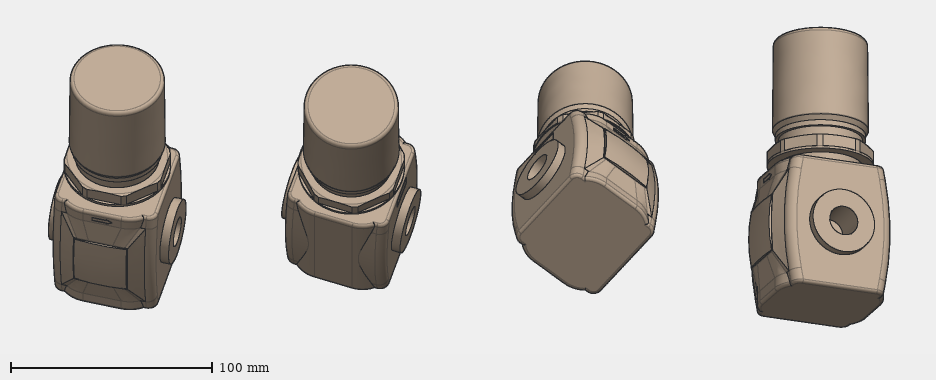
import cadquery as cq
import math

HOUSING_WIDTH = 53.0
HOUSING_HEIGHT = 68.2
MID_HEIGHT = HOUSING_HEIGHT / 2
BULGE_HALF_DEPTH = 28.2
BULGE_END_DEPTH = 25.7
BULGE_HALF_HEIGHT = 27.2
CORNER_RADIUS = 4.8
RIM_FILLET = 1.7

PAD_HALF_DEPTH = 28.5
PAD_FLAT_HALF = 9.9
PAD_ARC_RADIUS = 16.5
PAD_HALF_WIDTH = 20.8

BUMP_FACET_HALF = 18.8
BUMP_BACK = 20.0
CREST_HALF_WIDTH = 14.0
CREST_HALF_HEIGHT = 15.3
CREST_FLAT_HALF = 6.3
CREST_FACET_HALF = 12.4
CREST_END_DEPTH = 31.2
CREST_MID_DEPTH = 31.9

WINDOW_MARGIN = 0.5
WINDOW_HALF_WIDTH = CREST_HALF_WIDTH - WINDOW_MARGIN
WINDOW_HALF_HEIGHT = CREST_HALF_HEIGHT - WINDOW_MARGIN
WINDOW_RISE = 0.8
WINDOW_CENTRE_Z = MID_HEIGHT + WINDOW_RISE
WINDOW_FRONT = 33.77
WINDOW_SIDE_SAG = 0.7
WINDOW_END_SAG = 1.4
WINDOW_BACK = 28.0

PORT_DIAMETER = 33.0
PORT_SPAN = 62.0
BORE_DIAMETER = 15.0
BORE_DEPTH = 20.0

MARK_DEPTH = 0.2
LABEL_WIDTH = 14.2
LABEL_HEIGHT = 6.2
LABEL_Z = 62.3
ARROW_LENGTH = 10.3
ARROW_HEAD_LENGTH = 3.0
ARROW_SHAFT_HALF = 1.0
ARROW_HEAD_HALF = 1.6
ARROW_Z = 63.7

NECK_DIAMETER = 42.0
COLLAR_DIAMETER = 45.0
COLLAR_BOTTOM = 87.4
COLLAR_TOP = 90.1
KNOB_LIP_BOTTOM = 92.7
KNOB_LIP_TOP = 93.1
KNOB_BASE_DIAMETER = 47.8
KNOB_TOP_DIAMETER = 47.0
KNOB_TOP = 139.5
KNOB_FILLET = 2.0

NUT_BOTTOM = 73.5
NUT_TOP = 81.4
FLANGE_THICKNESS = 1.3
FLANGE_DIAMETER = 53.0
NUT_ACROSS_FLATS = 50.0
NUT_SIDES = 8
NUT_CHAMFER_ANGLE = 15.0


def arc_radius(half_chord, sag):
    """Radius of the arc that falls by sag at half_chord from its crown."""
    return (half_chord**2 + sag**2) / (2 * sag)


BULGE_RADIUS = arc_radius(BULGE_HALF_HEIGHT, BULGE_HALF_DEPTH - BULGE_END_DEPTH)
BULGE_END_SLOPE = math.tan(math.asin(BULGE_HALF_HEIGHT / BULGE_RADIUS))
END_HALF_DEPTH = BULGE_END_DEPTH - BULGE_END_SLOPE * (MID_HEIGHT - BULGE_HALF_HEIGHT)
COLUMN_X = HOUSING_WIDTH / 2 - CORNER_RADIUS


def pad_depth(x):
    """Half depth of the pad's curved shoulder at distance x from the middle."""
    run = x - PAD_FLAT_HALF
    return PAD_HALF_DEPTH - PAD_ARC_RADIUS + math.sqrt(PAD_ARC_RADIUS**2 - run**2)


def make_block():
    bulge_bottom = MID_HEIGHT - BULGE_HALF_HEIGHT
    bulge_top = MID_HEIGHT + BULGE_HALF_HEIGHT
    block = (
        cq.Workplane("YZ", origin=(-HOUSING_WIDTH / 2, 0, 0))
        .moveTo(-END_HALF_DEPTH, 0)
        .lineTo(END_HALF_DEPTH, 0)
        .lineTo(BULGE_END_DEPTH, bulge_bottom)
        .threePointArc((BULGE_HALF_DEPTH, MID_HEIGHT), (BULGE_END_DEPTH, bulge_top))
        .lineTo(END_HALF_DEPTH, HOUSING_HEIGHT)
        .lineTo(-END_HALF_DEPTH, HOUSING_HEIGHT)
        .lineTo(-BULGE_END_DEPTH, bulge_top)
        .threePointArc((-BULGE_HALF_DEPTH, MID_HEIGHT), (-BULGE_END_DEPTH, bulge_bottom))
        .close()
        .extrude(HOUSING_WIDTH)
    )
    block = block.edges("%CIRCLE").fillet(CORNER_RADIUS)
    return block.faces("<Z or >Z").edges().fillet(RIM_FILLET)


def make_pad():
    shoulder_x = (PAD_FLAT_HALF + PAD_HALF_WIDTH) / 2
    shoulder_y = pad_depth(shoulder_x)
    end_y = pad_depth(PAD_HALF_WIDTH)
    pad = (
        cq.Workplane("XY")
        .moveTo(-PAD_FLAT_HALF, PAD_HALF_DEPTH)
        .lineTo(PAD_FLAT_HALF, PAD_HALF_DEPTH)
        .threePointArc((shoulder_x, shoulder_y), (PAD_HALF_WIDTH, end_y))
        .lineTo(PAD_HALF_WIDTH, -end_y)
        .threePointArc((shoulder_x, -shoulder_y), (PAD_FLAT_HALF, -PAD_HALF_DEPTH))
        .lineTo(-PAD_FLAT_HALF, -PAD_HALF_DEPTH)
        .threePointArc((-shoulder_x, -shoulder_y), (-PAD_HALF_WIDTH, -end_y))
        .lineTo(-PAD_HALF_WIDTH, end_y)
        .threePointArc((-shoulder_x, shoulder_y), (-PAD_FLAT_HALF, PAD_HALF_DEPTH))
        .close()
        .extrude(HOUSING_HEIGHT)
    )
    return pad.faces("<Z or >Z").edges().fillet(RIM_FILLET)


def bump_base(z):
    """Outline of the bump's middle where it grows out of the pad's flat and curved shoulders."""
    arc_x = (PAD_FLAT_HALF + BUMP_FACET_HALF) / 2
    arc_depth = pad_depth(arc_x)
    facet_depth = pad_depth(BUMP_FACET_HALF)
    return (
        cq.Workplane("XY", origin=(0, 0, z))
        .moveTo(-COLUMN_X, -BUMP_BACK)
        .lineTo(-COLUMN_X, -BULGE_END_DEPTH)
        .lineTo(-BUMP_FACET_HALF, -facet_depth)
        .threePointArc((-arc_x, -arc_depth), (-PAD_FLAT_HALF, -PAD_HALF_DEPTH))
        .lineTo(PAD_FLAT_HALF, -PAD_HALF_DEPTH)
        .threePointArc((arc_x, -arc_depth), (BUMP_FACET_HALF, -facet_depth))
        .lineTo(COLUMN_X, -BULGE_END_DEPTH)
        .lineTo(COLUMN_X, -BUMP_BACK)
        .close()
        .val()
    )


def bump_crest(z):
    """Straight-fronted outline at the end of the crest, its front edge split to match the base."""
    front = -CREST_END_DEPTH
    return (
        cq.Workplane("XY", origin=(0, 0, z))
        .moveTo(-CREST_HALF_WIDTH, -BUMP_BACK)
        .lineTo(-CREST_HALF_WIDTH, front)
        .lineTo(-CREST_FACET_HALF, front)
        .lineTo(-CREST_FLAT_HALF, front)
        .lineTo(CREST_FLAT_HALF, front)
        .lineTo(CREST_FACET_HALF, front)
        .lineTo(CREST_HALF_WIDTH, front)
        .lineTo(CREST_HALF_WIDTH, -BUMP_BACK)
        .close()
        .val()
    )


def bowed_outline(x, centre_z, half_height, end_depth, mid_depth):
    """Upright outline at distance x, bowed out towards -Y."""
    return (
        cq.Workplane("YZ", origin=(x, 0, centre_z))
        .moveTo(-BUMP_BACK, -half_height)
        .lineTo(-end_depth, -half_height)
        .threePointArc((-mid_depth, 0), (-end_depth, half_height))
        .lineTo(-BUMP_BACK, half_height)
        .close()
    )


def crest_outline(x):
    return bowed_outline(x, WINDOW_CENTRE_Z, CREST_HALF_HEIGHT, CREST_END_DEPTH, CREST_MID_DEPTH)


def make_bump_cheek():
    """Side of the bump, ruled from the block's corner column to the edge of the crest."""
    root = bowed_outline(COLUMN_X, MID_HEIGHT, BULGE_HALF_HEIGHT, BULGE_END_DEPTH, BULGE_HALF_DEPTH)
    crest = crest_outline(CREST_HALF_WIDTH)
    return cq.Workplane(cq.Solid.makeLoft([root.val(), crest.val()], True))


def make_bump():
    cheek = make_bump_cheek()
    bump = crest_outline(-CREST_HALF_WIDTH).extrude(2 * CREST_HALF_WIDTH)
    bump = bump.union(cheek).union(cheek.mirror("YZ"))
    for side in (-1, 1):
        base = bump_base(MID_HEIGHT + side * BULGE_HALF_HEIGHT)
        crest = bump_crest(WINDOW_CENTRE_Z + side * CREST_HALF_HEIGHT)
        bump = bump.union(cq.Workplane(cq.Solid.makeLoft([base, crest], True)))
    return bump


def make_window():
    axis_depth = arc_radius(WINDOW_HALF_HEIGHT, WINDOW_END_SAG) - WINDOW_FRONT
    side_depth = WINDOW_FRONT - WINDOW_SIDE_SAG
    crown = (
        cq.Workplane("XY", origin=(0, 0, WINDOW_CENTRE_Z))
        .moveTo(-WINDOW_HALF_WIDTH, axis_depth)
        .lineTo(-WINDOW_HALF_WIDTH, -side_depth)
        .threePointArc((0, -WINDOW_FRONT), (WINDOW_HALF_WIDTH, -side_depth))
        .lineTo(WINDOW_HALF_WIDTH, axis_depth)
        .close()
        .revolve(360, (-1, axis_depth, 0), (1, axis_depth, 0))
    )
    plate = cq.Workplane("XY").box(
        2 * WINDOW_HALF_WIDTH,
        WINDOW_FRONT - WINDOW_BACK,
        2 * WINDOW_HALF_HEIGHT,
    )
    plate = plate.translate((0, -(WINDOW_FRONT + WINDOW_BACK) / 2, WINDOW_CENTRE_Z))
    return plate.intersect(crown)


def make_ports():
    return (
        cq.Workplane("YZ", origin=(-PORT_SPAN / 2, 0, MID_HEIGHT))
        .circle(PORT_DIAMETER / 2)
        .extrude(PORT_SPAN)
    )


def make_bores():
    bore = (
        cq.Workplane("YZ", origin=(-PORT_SPAN / 2, 0, MID_HEIGHT))
        .circle(BORE_DIAMETER / 2)
        .extrude(BORE_DEPTH)
    )
    return bore.union(bore.mirror("YZ"))


def make_neck():
    return (
        cq.Workplane("XY", origin=(0, 0, MID_HEIGHT))
        .circle(NECK_DIAMETER / 2)
        .extrude(COLLAR_BOTTOM - MID_HEIGHT)
    )


def make_label_recess():
    label = cq.Workplane("XY").box(2 * MARK_DEPTH, LABEL_WIDTH, LABEL_HEIGHT)
    return label.translate((-HOUSING_WIDTH / 2, 0, LABEL_Z))


def make_arrow_recess():
    tip = ARROW_LENGTH / 2
    head = tip - ARROW_HEAD_LENGTH
    return (
        cq.Workplane("XZ", origin=(0, -PAD_HALF_DEPTH + MARK_DEPTH, ARROW_Z))
        .moveTo(-tip, -ARROW_SHAFT_HALF)
        .lineTo(head, -ARROW_SHAFT_HALF)
        .lineTo(head, -ARROW_HEAD_HALF)
        .lineTo(tip, 0)
        .lineTo(head, ARROW_HEAD_HALF)
        .lineTo(head, ARROW_SHAFT_HALF)
        .lineTo(-tip, ARROW_SHAFT_HALF)
        .close()
        .extrude(2 * MARK_DEPTH)
    )


def make_housing():
    housing = make_block().union(make_pad())
    housing = housing.union(make_bump())
    housing = housing.union(make_window())
    housing = housing.union(make_ports()).union(make_neck())
    return housing.cut(make_bores()).cut(make_label_recess()).cut(make_arrow_recess())


def make_nut():
    height = NUT_TOP - NUT_BOTTOM
    flange_radius = FLANGE_DIAMETER / 2
    flat_radius = NUT_ACROSS_FLATS / 2
    chamfer_height = (flange_radius - flat_radius) * math.tan(math.radians(NUT_CHAMFER_ANGLE))

    octagon = (
        cq.Workplane("XY", origin=(0, 0, NUT_BOTTOM))
        .polygon(NUT_SIDES, NUT_ACROSS_FLATS, circumscribed=True)
        .extrude(height)
    )
    turned = (
        cq.Workplane("XZ")
        .moveTo(0, NUT_BOTTOM)
        .lineTo(flange_radius, NUT_BOTTOM)
        .lineTo(flange_radius, NUT_TOP - chamfer_height)
        .lineTo(flat_radius, NUT_TOP)
        .lineTo(0, NUT_TOP)
        .close()
        .revolve(360, (0, 0, 0), (0, 1, 0))
    )
    flange = cq.Workplane("XY", origin=(0, 0, NUT_BOTTOM)).circle(flange_radius).extrude(FLANGE_THICKNESS)
    bore = cq.Workplane("XY", origin=(0, 0, NUT_BOTTOM)).circle(NECK_DIAMETER / 2).extrude(height)
    return octagon.intersect(turned).union(flange).cut(bore)


def make_knob():
    knob = (
        cq.Workplane("XZ")
        .moveTo(0, COLLAR_BOTTOM)
        .lineTo(COLLAR_DIAMETER / 2, COLLAR_BOTTOM)
        .lineTo(COLLAR_DIAMETER / 2, COLLAR_TOP)
        .lineTo(KNOB_BASE_DIAMETER / 2, KNOB_LIP_BOTTOM)
        .lineTo(KNOB_BASE_DIAMETER / 2, KNOB_LIP_TOP)
        .lineTo(KNOB_TOP_DIAMETER / 2, KNOB_TOP)
        .lineTo(0, KNOB_TOP)
        .close()
        .revolve(360, (0, 0, 0), (0, 1, 0))
    )
    return knob.faces(">Z").edges().fillet(KNOB_FILLET)


housing = make_housing()
nut = make_nut()
knob = make_knob()

result = cq.Compound.makeCompound([housing.val(), nut.val(), knob.val()])